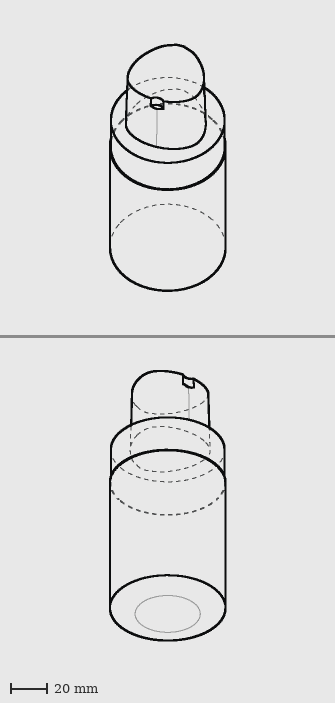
import cadquery as cq
import math

SHANK_LENGTH = 38.0
COLLAR_LENGTH = 22.0
BODY_LENGTH = 84.0
END_CONE_LENGTH = 4.0

COLLAR_DIAMETER = 62.98
BODY_DIAMETER = 64.0
END_FACE_DIAMETER = 36.0

SHANK_BASE_WIDTH = 44.2
SHANK_TAPER = 1 / 20
LOBE_HEIGHT = 1.4
HALF_PROFILE_SPANS = 12

NOTCH_DIAMETER = 10.0
NOTCH_DEPTH = 6.0
NOTCH_INNER_Y = -18.0
DRILL_POINT_ANGLE = 118.0


def turned_body():
    """Collar, main cylinder and conical lower end, as one revolved outline."""
    collar_radius = COLLAR_DIAMETER / 2
    body_radius = BODY_DIAMETER / 2
    body_top = -COLLAR_LENGTH
    body_bottom = body_top - BODY_LENGTH
    end_face = body_bottom - END_CONE_LENGTH
    outline = (
        cq.Workplane("XZ")
        .lineTo(collar_radius, 0)
        .lineTo(collar_radius, body_top)
        .lineTo(body_radius, body_top)
        .lineTo(body_radius, body_bottom)
        .lineTo(END_FACE_DIAMETER / 2, end_face)
        .lineTo(0, end_face)
        .close()
    )
    return outline.revolve()


def lobed_point(mean_radius, angle):
    """Point of the lobed profile whose outward normal lies at the given angle."""
    phase = 3 * (angle - math.pi / 2)
    reach = mean_radius + LOBE_HEIGHT * math.cos(phase)
    shift = -3 * LOBE_HEIGHT * math.sin(phase)
    x = reach * math.cos(angle) - shift * math.sin(angle)
    y = reach * math.sin(angle) + shift * math.cos(angle)
    return x, y


def half_profile(width, height, turn):
    """Half of the lobed curve at the given height, from the -Y flank to the +Y lobe.

    A turn of +1 runs through the +X side, a turn of -1 through the -X side.
    """
    step = turn * math.pi / HALF_PROFILE_SPANS
    points = []
    for i in range(HALF_PROFILE_SPANS + 1):
        x, y = lobed_point(width / 2, -math.pi / 2 + i * step)
        points.append(cq.Vector(x, y, height))
    start_tangent = cq.Vector(turn, 0, 0)
    end_tangent = cq.Vector(-turn, 0, 0)
    return cq.Edge.makeSpline(points, tangents=[start_tangent, end_tangent])


def lobed_profile(width, height):
    """Closed lobed wire at the given height, symmetric about the YZ plane."""
    halves = [half_profile(width, height, turn) for turn in (1, -1)]
    return cq.Wire.assembleEdges(halves)


def shank():
    """Tapered lobed shank standing on the collar face."""
    top_width = SHANK_BASE_WIDTH - SHANK_TAPER * SHANK_LENGTH
    base = lobed_profile(SHANK_BASE_WIDTH, 0)
    top = lobed_profile(top_width, SHANK_LENGTH)
    return cq.Workplane(cq.Solid.makeLoft([base, top], ruled=True))


def notch_cutter():
    """Drill with a conical point, parallel to the shank axis and partly outside the flank."""
    radius = NOTCH_DIAMETER / 2
    point_length = radius / math.tan(math.radians(DRILL_POINT_ANGLE / 2))
    rim = SHANK_LENGTH - NOTCH_DEPTH
    outline = (
        cq.Workplane("XZ")
        .moveTo(0, rim - point_length)
        .lineTo(radius, rim)
        .lineTo(radius, SHANK_LENGTH)
        .lineTo(0, SHANK_LENGTH)
        .close()
    )
    return outline.revolve().translate((0, NOTCH_INNER_Y - radius, 0))


result = turned_body().union(shank()).cut(notch_cutter())